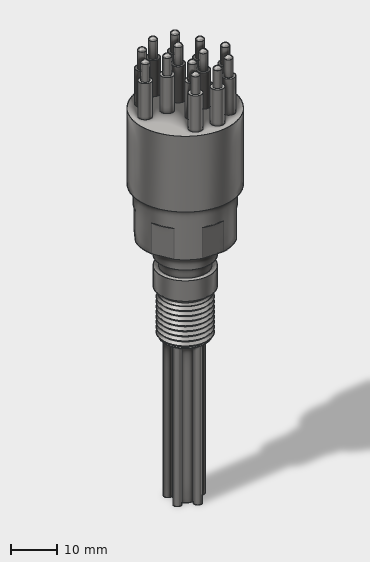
import cadquery as cq
import math


pin_tip_z = 111.0
pin_shoulder_z = 105.9
body_top_z = 96.9
body_bottom_z = 78.0
flats_top_z = 73.0
nut_bottom_z = 65.4
seal_groove_top_z = 60.4
seal_groove_bottom_z = 57.7
collar_bottom_z = 52.6
thread_top_z = 51.4
thread_bottom_z = 40.0

body_diameter = 25.3
nut_diameter = 22.6
collar_diameter = 14.0
seal_groove_diameter = 11.7
neck_diameter = 11.0

flat_count = 6
across_flats = 22.0
first_flat_angle = -90.0

thread_diameter = 12.7
thread_root_diameter = 11.3
thread_pitch = 1.25
first_crest_offset = 0.2

sleeve_diameter = 3.2
tip_diameter = 2.0
tip_dome_height = 0.7
pin_pitch = 6.1
inner_row_y = 2.7
outer_row_y = 7.2

core_diameter = 5.5
wire_diameter = 2.0
wire_count = 5
wire_gap = 0.05
first_wire_angle = -90.0


def cylinder(diameter, bottom_z, top_z, x=0.0, y=0.0):
    """Upright cylinder between two heights."""
    base = cq.Workplane("XY", origin=(x, y, bottom_z))
    return base.circle(diameter / 2).extrude(top_z - bottom_z)


def make_turned_body():
    """Stacked cylinders from the pin face down to the start of the thread."""
    body = cylinder(body_diameter, body_bottom_z, body_top_z)
    body = body.union(cylinder(nut_diameter, nut_bottom_z, body_bottom_z))
    body = body.union(cylinder(collar_diameter, seal_groove_top_z, nut_bottom_z))
    body = body.union(cylinder(seal_groove_diameter, seal_groove_bottom_z, seal_groove_top_z))
    body = body.union(cylinder(collar_diameter, collar_bottom_z, seal_groove_bottom_z))
    return body.union(cylinder(neck_diameter, thread_top_z, collar_bottom_z))


def cut_wrench_flats(body):
    """Flats on the lower part of the nut, open at its bottom face."""
    flat_depth = (nut_diameter - across_flats) / 2
    flat_height = flats_top_z - nut_bottom_z
    cutter = (
        cq.Workplane("XY", origin=(across_flats / 2, 0, nut_bottom_z))
        .box(2 * flat_depth, nut_diameter, flat_height, centered=(False, True, False))
    )
    for index in range(flat_count):
        angle = first_flat_angle + index * 360.0 / flat_count
        body = body.cut(cutter.rotate((0, 0, 0), (0, 0, 1), angle))
    return body


def make_thread():
    """Row of V-shaped ridges, tapered to the neck diameter at both ends."""
    crest_radius = thread_diameter / 2
    root_radius = thread_root_diameter / 2
    end_radius = neck_diameter / 2
    taper = crest_radius - end_radius
    length = thread_top_z - thread_bottom_z

    crest_count = math.ceil((length - first_crest_offset) / thread_pitch) + 1
    first_crest_z = thread_top_z - first_crest_offset
    top_root_z = first_crest_z + thread_pitch / 2
    outline = [(0, top_root_z), (root_radius, top_root_z)]
    for index in range(crest_count):
        crest_z = first_crest_z - index * thread_pitch
        outline.append((crest_radius, crest_z))
        outline.append((root_radius, crest_z - thread_pitch / 2))
    outline.append((0, outline[-1][1]))
    ridges = cq.Workplane("XZ").polyline(outline).close().revolve(360, (0, 0), (0, 1))

    envelope = (
        cq.Workplane("XZ")
        .moveTo(0, thread_bottom_z)
        .lineTo(end_radius, thread_bottom_z)
        .lineTo(crest_radius, thread_bottom_z + taper)
        .lineTo(crest_radius, thread_top_z - taper)
        .lineTo(end_radius, thread_top_z)
        .lineTo(0, thread_top_z)
        .close()
        .revolve(360, (0, 0), (0, 1))
    )
    return ridges.intersect(envelope)


def make_pin(x, y):
    """Contact pin standing on the top face of the body."""
    tip_radius = tip_diameter / 2
    dome_base_z = pin_tip_z - tip_dome_height
    dome_radius = (tip_radius**2 + tip_dome_height**2) / (2 * tip_dome_height)
    dome_centre_z = pin_tip_z - dome_radius
    half_angle = math.asin(tip_radius / dome_radius) / 2
    dome_mid = (dome_radius * math.sin(half_angle), dome_centre_z + dome_radius * math.cos(half_angle))
    pin = (
        cq.Workplane("XZ")
        .moveTo(0, body_top_z)
        .lineTo(sleeve_diameter / 2, body_top_z)
        .lineTo(sleeve_diameter / 2, pin_shoulder_z)
        .lineTo(tip_radius, pin_shoulder_z)
        .lineTo(tip_radius, dome_base_z)
        .threePointArc(dome_mid, (0, pin_tip_z))
        .close()
        .revolve(360, (0, 0), (0, 1))
    )
    return pin.translate((x, y, 0))


def pin_positions():
    """Two inner rows of four pins, a front row of two and a back row of three."""
    positions = [(x_step * pin_pitch, outer_row_y) for x_step in (-1, 0, 1)]
    positions += [(x_step * pin_pitch, -outer_row_y) for x_step in (-1, 1)]
    for y in (-inner_row_y, inner_row_y):
        positions += [(x_step * pin_pitch, y) for x_step in (-1.5, -0.5, 0.5, 1.5)]
    return positions


def make_cable():
    """Core and the wires around it, just clear of it and held by the threaded end."""
    cable = cylinder(core_diameter, 0, thread_bottom_z)
    wire_circle_radius = (core_diameter + wire_diameter) / 2 + wire_gap
    for index in range(wire_count):
        angle = math.radians(first_wire_angle + index * 360.0 / wire_count)
        x = wire_circle_radius * math.cos(angle)
        y = wire_circle_radius * math.sin(angle)
        cable = cable.union(cylinder(wire_diameter, 0, thread_bottom_z, x, y))
    return cable


result = cut_wrench_flats(make_turned_body())
result = result.union(make_thread())
result = result.union(make_cable())
for pin_x, pin_y in pin_positions():
    result = result.union(make_pin(pin_x, pin_y))